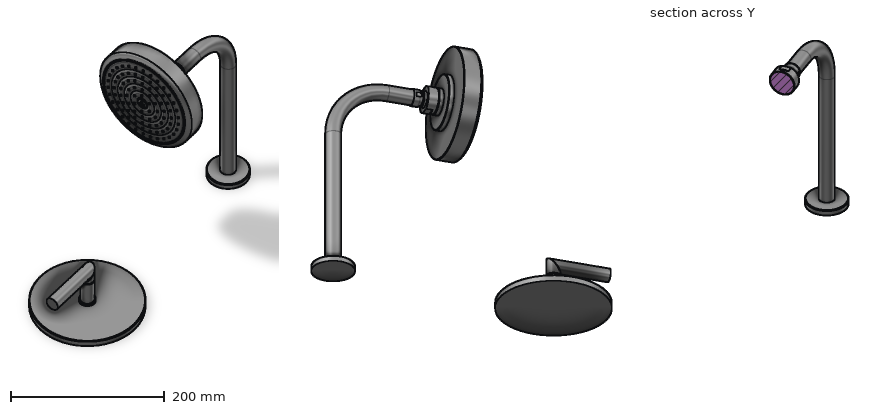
import cadquery as cq
import math

total_length = 409.5
total_height = 350.5
valve_plate_diameter = 152.5
flange_diameter = 57.5
plate_thickness = 9.0
flange_thickness = 8.0
plate_chamfer = 1.2
arm_y = total_length - valve_plate_diameter / 2 - flange_diameter / 2

arm_diameter = 21.5
bend_radius = 73.7
head_radius = 75.0
arm_axis_z = total_height - head_radius

collar_start = 108.5
collar_round_start = 116.5
collar_end = 121.5
neck_end = 123.5
nut_start = 126.0
nut_flat_end = 135.0
nut_groove_start = 140.0
disc_start = 147.0
head_back = 154.5
rim_start = 177.8
rim_end = 182.5
dome_edge = 182.5
dome_centre = 186.5

collar_radius = 11.5
collar_flat_start = 112.0
collar_flat_offset = 11.0
neck_radius = 9.0
neck_flare_radius = 11.5
nut_radius = 18.0
nut_flat_offset = 16.8
nut_groove_width = 1.2
nut_groove_depth = 1.0
disc_radius = 37.3
disc_chamfer = 1.0
head_chamfer = 1.0
rim_inner_radius = 66.8
rim_bulge = 1.0
face_radius = 64.7
face_bevel = 2.0
face_groove_depth = 1.5

nozzle_rings = 5
nozzles_per_ring_step = 6
first_ring_radius = 14.0
ring_pitch = 10.85
land_half_width = 1.85
centre_nozzle_count = 3
centre_nozzle_radius = 3.0
centre_land_radius = 7.0
valley_depth = 0.6
nozzle_diameter = 3.0
nozzle_height = 1.0
nozzle_root = 2.0

stem_diameter = 19.0
stem_collar_diameter = 22.0
stem_collar_height = 3.0
lever_diameter = 18.5
handle_top = 71.3
mitre_inner_z = 50.5
handle_joint_z = 47.0
joint_groove_width = 1.2
joint_groove_depth = 0.5


def dome_height(radius):
    """Distance along the spray axis of the domed face at a given radius."""
    return dome_centre - (dome_centre - dome_edge) * (radius / face_radius) ** 2


def ring_radius(index):
    return first_ring_radius + index * ring_pitch


def chamfered_disc(diameter, thickness, y):
    disc = cq.Workplane("XY").center(0, y).circle(diameter / 2).extrude(thickness)
    return disc.faces(">Z").edges().chamfer(plate_chamfer)


def spray_face_points():
    """Profile points (radius, distance) of the face, from its rim in to the axis."""
    points = []
    for index in reversed(range(nozzle_rings)):
        radius = ring_radius(index)
        valley_radius = radius - ring_pitch / 2
        if index < nozzle_rings - 1:
            points.append((radius + land_half_width, dome_height(radius + land_half_width)))
        points.append((radius - land_half_width, dome_height(radius - land_half_width)))
        points.append((valley_radius, dome_height(valley_radius) - valley_depth))
    points.append((centre_land_radius, dome_height(centre_land_radius)))
    points.append((0, dome_height(centre_land_radius)))
    return points


def head_blank():
    """Ball joint, nut, backing disc and head, revolved about the spray axis."""
    groove_end = nut_groove_start + nut_groove_width
    groove_radius = nut_radius - nut_groove_depth
    rim_middle = (
        (head_radius + rim_inner_radius) / 2 + rim_bulge,
        (rim_start + rim_end) / 2 + rim_bulge,
    )
    bevel_radius = face_radius - face_bevel
    profile = (
        cq.Workplane("XY")
        .moveTo(0, collar_start)
        .lineTo(collar_radius, collar_start)
        .lineTo(collar_radius, collar_round_start)
        .tangentArcPoint((neck_radius, collar_end), relative=False)
        .lineTo(neck_radius, neck_end)
        .lineTo(neck_flare_radius, nut_start)
        .lineTo(nut_radius, nut_start)
        .lineTo(nut_radius, nut_groove_start)
        .lineTo(groove_radius, nut_groove_start)
        .lineTo(groove_radius, groove_end)
        .lineTo(nut_radius, groove_end)
        .lineTo(nut_radius, disc_start)
        .lineTo(disc_radius - disc_chamfer, disc_start)
        .lineTo(disc_radius, disc_start + disc_chamfer)
        .lineTo(disc_radius, head_back)
        .lineTo(head_radius - head_chamfer, head_back)
        .lineTo(head_radius, head_back + head_chamfer)
        .lineTo(head_radius, rim_start)
        .threePointArc(rim_middle, (rim_inner_radius, rim_end))
        .lineTo(rim_inner_radius, rim_end - face_groove_depth)
        .lineTo(face_radius, rim_end - face_groove_depth)
        .lineTo(face_radius, dome_edge)
        .lineTo(bevel_radius, dome_height(bevel_radius))
    )
    for radius, distance in spray_face_points():
        profile = profile.lineTo(radius, distance)
    return profile.close().revolve(360, (0, 0), (0, 1))


def flat_cutters():
    """Blocks that cut the two nut flats (+-Z here) and the two collar flats (+-X)."""
    block_size = 2 * nut_radius
    nut_flat_length = nut_flat_end - nut_start
    collar_flat_length = collar_end - collar_flat_start
    cutters = []
    for side in (1, -1):
        nut_centre = (0, nut_start + nut_flat_length / 2, side * (nut_flat_offset + block_size / 2))
        cutters.append(cq.Workplane("XY").box(block_size, nut_flat_length, block_size).translate(nut_centre))
        collar_centre = (
            side * (collar_flat_offset + block_size / 2),
            collar_flat_start + collar_flat_length / 2,
            0,
        )
        cutters.append(
            cq.Workplane("XY").box(block_size, collar_flat_length, block_size).translate(collar_centre)
        )
    return cutters


def nozzle_ring(radius, count):
    """One ring of nozzle studs; its first nozzle is straight up from the centre."""
    root = dome_height(radius) - nozzle_root
    return (
        cq.Workplane("XZ", origin=(0, root, 0))
        .polarArray(radius, 90, 360, count)
        .circle(nozzle_diameter / 2)
        .extrude(-(nozzle_root + nozzle_height))
    )


def make_head():
    head = head_blank()
    for cutter in flat_cutters():
        head = head.cut(cutter)
    head = head.union(nozzle_ring(centre_nozzle_radius, centre_nozzle_count))
    for index in range(nozzle_rings):
        head = head.union(nozzle_ring(ring_radius(index), nozzles_per_ring_step * (index + 1)))
    return head.rotate((0, 0, 0), (0, 0, 1), 180).translate((0, arm_y, arm_axis_z))


def make_arm():
    bend_start_z = arm_axis_z - bend_radius
    bend_offset = bend_radius * math.sqrt(0.5)
    path = (
        cq.Workplane("YZ")
        .moveTo(arm_y, 0)
        .lineTo(arm_y, bend_start_z)
        .threePointArc(
            (arm_y - bend_radius + bend_offset, bend_start_z + bend_offset),
            (arm_y - bend_radius, arm_axis_z),
        )
        .lineTo(arm_y - collar_start, arm_axis_z)
    )
    return cq.Workplane("XY").center(0, arm_y).circle(arm_diameter / 2).sweep(path)


def make_shower():
    flange = chamfered_disc(flange_diameter, flange_thickness, arm_y)
    return flange.union(make_arm()).union(make_head())


def make_handle():
    """Stem and lever joined at a mitre; the stem leaves a thin lip under the lever."""
    stem_radius = stem_diameter / 2
    lever_radius = lever_diameter / 2
    lever_front_y = -valve_plate_diameter / 2
    below_mitre = (
        cq.Workplane("YZ")
        .polyline([
            (stem_radius, 0),
            (stem_radius, handle_top),
            (-stem_radius, mitre_inner_z),
            (-stem_radius, 0),
        ])
        .close()
        .extrude(stem_radius, both=True)
    )
    stem = cq.Workplane("XY").circle(stem_radius).extrude(handle_top).intersect(below_mitre)
    above_mitre = (
        cq.Workplane("YZ")
        .polyline([
            (stem_radius, handle_top),
            (-stem_radius, mitre_inner_z),
            (lever_front_y, mitre_inner_z),
            (lever_front_y, handle_top),
        ])
        .close()
        .extrude(lever_radius, both=True)
    )
    lever = (
        cq.Workplane("XZ", origin=(0, stem_radius, handle_top - lever_radius))
        .circle(lever_radius)
        .extrude(stem_radius - lever_front_y)
        .intersect(above_mitre)
    )
    groove = (
        cq.Workplane("XY", origin=(0, 0, handle_joint_z - joint_groove_width / 2))
        .circle(stem_radius)
        .circle(stem_radius - joint_groove_depth)
        .extrude(joint_groove_width)
    )
    return stem.union(lever).cut(groove)


def make_valve():
    plate = chamfered_disc(valve_plate_diameter, plate_thickness, 0)
    collar_top = plate_thickness + stem_collar_height
    collar = cq.Workplane("XY").circle(stem_collar_diameter / 2).extrude(collar_top)
    return plate.union(collar).union(make_handle())


shower = make_shower()
valve = make_valve()
result = cq.Compound.makeCompound([shower.solids().val(), valve.solids().val()])